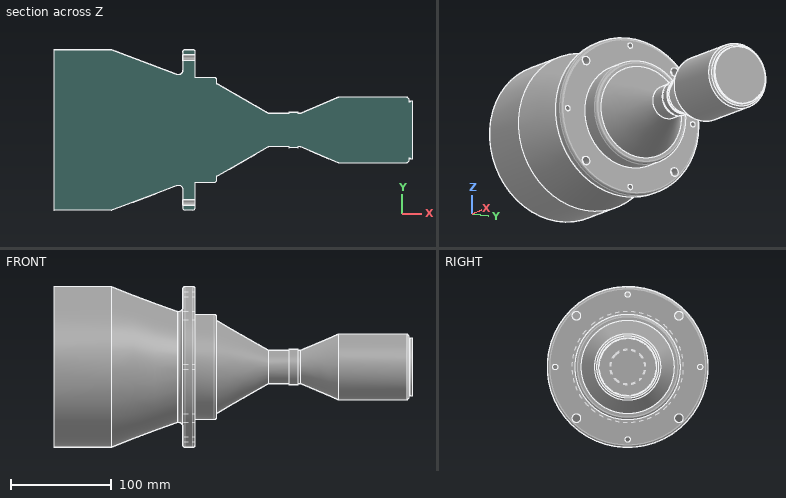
import cadquery as cq
import math

drum_radius = 160.0 / 2
waist_radius = 55.3
hub_radius = 52.5
hub_cone_radius = 46.5
neck_radius = 16.8
collar_radius = 18.0
grip_radius = 66.0 / 2
end_groove_radius = 28.0
end_radius = 29.0

drum_end = 57.0
waist_start = 122.5
flange_start = 128.0
flange_end = 140.5
hub_end = 162.0
neck_start = 213.2
collar_start = 233.5
collar_end = 243.0
neck_end = 245.5
grip_start = 283.0
grip_end = 351.0
groove_start = 353.0
groove_end = 354.0
total_length = 356.5

waist_fillet = 4.0
edge_rounding = 2.5
grip_chamfer = groove_start - grip_end

hole_count = 4
hole_circle_radius = 72.0
bolt_hole_diameter = 8.5
pin_hole_diameter = 5.5


def turned_body():
    """Revolve the half outline about the X axis."""
    fillet_start = flange_start - waist_fillet
    fillet_middle = (
        fillet_start + waist_fillet * math.sin(math.radians(45)),
        waist_radius + waist_fillet * (1 - math.cos(math.radians(45))),
    )
    outline = (
        cq.Workplane("XY")
        .lineTo(0, drum_radius)
        .lineTo(drum_end, drum_radius)
        .lineTo(waist_start, waist_radius)
        .lineTo(fillet_start, waist_radius)
        .threePointArc(fillet_middle, (flange_start, waist_radius + waist_fillet))
        .lineTo(flange_start, drum_radius - edge_rounding)
        .tangentArcPoint((flange_start + edge_rounding, drum_radius), relative=False)
        .lineTo(flange_end - edge_rounding, drum_radius)
        .tangentArcPoint((flange_end, drum_radius - edge_rounding), relative=False)
        .lineTo(flange_end, hub_radius)
        .lineTo(hub_end - edge_rounding, hub_radius)
        .tangentArcPoint((hub_end, hub_radius - edge_rounding), relative=False)
        .lineTo(hub_end, hub_cone_radius)
        .lineTo(neck_start, neck_radius)
        .lineTo(collar_start, neck_radius)
        .lineTo(collar_start, collar_radius)
        .lineTo(collar_end, collar_radius)
        .lineTo(collar_end, neck_radius)
        .lineTo(neck_end, neck_radius)
        .lineTo(grip_start, grip_radius)
        .lineTo(grip_end, grip_radius)
        .lineTo(groove_start, grip_radius - grip_chamfer)
        .lineTo(groove_start, end_groove_radius)
        .lineTo(groove_end, end_groove_radius)
        .lineTo(groove_end, end_radius)
        .lineTo(total_length, end_radius)
        .lineTo(total_length, 0)
        .close()
    )
    return outline.revolve(360, (0, 0, 0), (1, 0, 0))


def flange_holes(diameter, first_angle):
    """Evenly spaced drills through the flange only."""
    return (
        cq.Workplane("YZ", origin=(flange_start, 0, 0))
        .polarArray(hole_circle_radius, first_angle, 360, hole_count)
        .circle(diameter / 2)
        .extrude(flange_end - flange_start)
    )


result = (
    turned_body()
    .cut(flange_holes(bolt_hole_diameter, 45))
    .cut(flange_holes(pin_hole_diameter, 0))
)